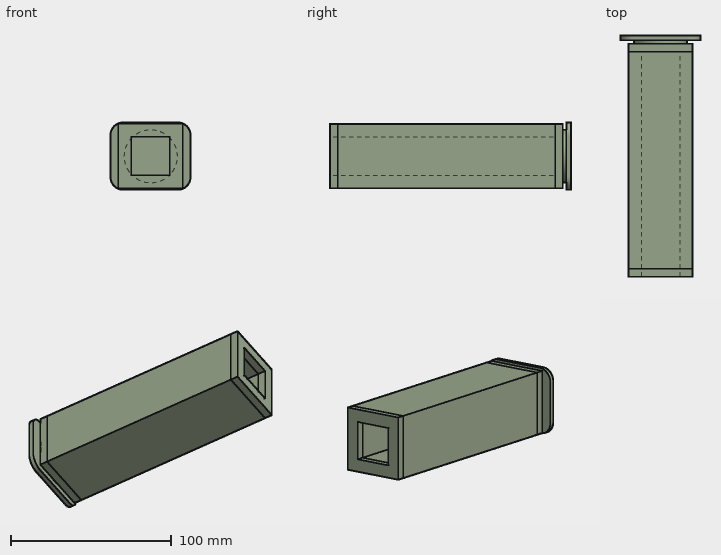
import cadquery as cq

TOTAL_LENGTH = 150.0
POST_SIDE = 40.0
BORE_SIDE = 24.0
END_THICKNESS = 5.0

PLATE_WIDTH = 50.0
PLATE_HEIGHT = 42.0
PLATE_THICKNESS = 3.0
PLATE_CORNER_RADIUS = 8.1
NECK_DIAMETER = 33.0
NECK_LENGTH = 2.1

FRONT_Y = -TOTAL_LENGTH / 2
TUBE_FRONT_Y = FRONT_Y + END_THICKNESS
PLATE_REAR_Y = TOTAL_LENGTH / 2
PLATE_FRONT_Y = PLATE_REAR_Y - PLATE_THICKNESS
CAP_REAR_Y = PLATE_FRONT_Y - NECK_LENGTH
CAP_FRONT_Y = CAP_REAR_Y - END_THICKNESS


def section_at(y):
    """Sketch plane across the post at y; extrusion goes toward +Y."""
    return cq.Workplane(cq.Plane(origin=(0, y, 0), xDir=(-1, 0, 0), normal=(0, 1, 0)))


def square_frame(start_y, end_y):
    """Square section with the square bore running through it."""
    outline = section_at(start_y).rect(POST_SIDE, POST_SIDE).rect(BORE_SIDE, BORE_SIDE)
    return outline.extrude(end_y - start_y)


def make_collar():
    return square_frame(FRONT_Y, TUBE_FRONT_Y)


def make_tube():
    return square_frame(TUBE_FRONT_Y, CAP_FRONT_Y)


def make_cap():
    """Solid square cap closing the rear of the bore."""
    return section_at(CAP_FRONT_Y).rect(POST_SIDE, POST_SIDE).extrude(END_THICKNESS)


def make_foot():
    """Rounded plate carried on a short round neck."""
    plate = section_at(PLATE_FRONT_Y).rect(PLATE_WIDTH, PLATE_HEIGHT).extrude(PLATE_THICKNESS)
    plate = plate.edges("|Y").fillet(PLATE_CORNER_RADIUS)
    neck = section_at(CAP_REAR_Y).circle(NECK_DIAMETER / 2).extrude(NECK_LENGTH)
    return plate.union(neck)


collar = make_collar()
tube = make_tube()
cap = make_cap()
foot = make_foot()

result = cq.Compound.makeCompound([collar.val(), tube.val(), cap.val(), foot.val()])